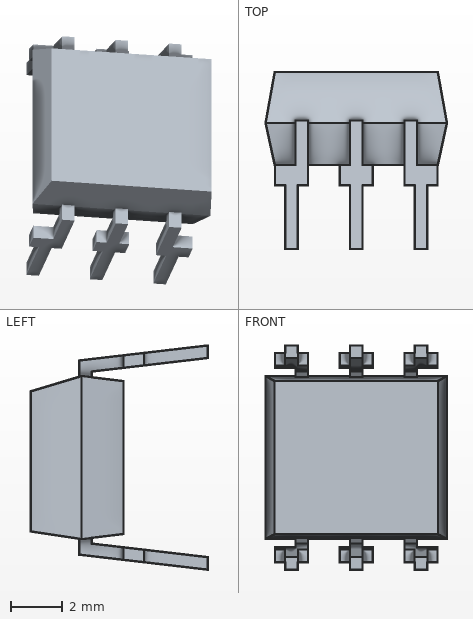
import cadquery as cq

parting_width = 7.12
parting_half_height = 3.2
face_width = 6.4
front_depth = 1.65
front_half_height = 3.0
rear_depth = 2.0
rear_top = 2.6
rear_bottom = -2.9

lead_thickness = 0.5
lead_width = 0.5
lead_root_y = 0.1
lead_root_z = 3.81
lead_tip_z = 4.4
lead_embed_z = 2.9
shoulder_width = 1.3
shoulder_length = 0.8
pin_length = 2.5
pin_pitch = 2.54

shoulder_start_y = -front_depth
shoulder_end_y = shoulder_start_y - shoulder_length
lead_tip_y = shoulder_end_y - pin_length
lead_slope = (lead_tip_z - lead_root_z) / (lead_root_y - lead_tip_y)
stem_shift = (shoulder_width - lead_width) / 2


def lead_outer_z(y):
    """Height of the sloping outer face of an upper lead at a given Y."""
    return lead_root_z + lead_slope * (lead_root_y - y)


def rectangle_wire(width, bottom, top, y):
    """Rectangle centred on X = 0, lying in the plane at the given Y."""
    half = width / 2
    corners = [(-half, y, bottom), (half, y, bottom), (half, y, top), (-half, y, top)]
    return cq.Wire.makePolygon([cq.Vector(*corner) for corner in corners], close=True)


def make_body():
    parting = rectangle_wire(parting_width, -parting_half_height, parting_half_height, 0)
    front = rectangle_wire(face_width, -front_half_height, front_half_height, -front_depth)
    rear = rectangle_wire(face_width, rear_bottom, rear_top, rear_depth)
    front_half = cq.Solid.makeLoft([front, parting], True)
    rear_half = cq.Solid.makeLoft([parting, rear], True)
    return cq.Workplane(front_half).union(cq.Workplane(rear_half))


def extrude_across(points, width, center_x):
    """Extrude a Y-Z outline along X, centred on center_x."""
    profile = cq.Workplane("YZ").polyline(points).close()
    return profile.extrude(width / 2, both=True).translate((center_x, 0, 0))


def make_bar(start_y, end_y, width, center_x):
    """Straight stretch of an upper lead following the sloping outer face."""
    start_z = lead_outer_z(start_y)
    end_z = lead_outer_z(end_y)
    points = [
        (start_y, start_z),
        (end_y, end_z),
        (end_y, end_z - lead_thickness),
        (start_y, start_z - lead_thickness),
    ]
    return extrude_across(points, width, center_x)


def make_stem(center_x):
    """Bent root that rises from inside the body and runs to the shoulder."""
    inner_y = lead_root_y - lead_thickness
    end_z = lead_outer_z(shoulder_start_y)
    points = [
        (lead_root_y, lead_embed_z),
        (lead_root_y, lead_root_z),
        (shoulder_start_y, end_z),
        (shoulder_start_y, end_z - lead_thickness),
        (inner_y, lead_outer_z(inner_y) - lead_thickness),
        (inner_y, lead_embed_z),
    ]
    return extrude_across(points, lead_width, center_x)


def make_upper_lead(column):
    """Lead in column -1, 0 or 1; outer stems line up with the inner shoulder edge."""
    center_x = column * pin_pitch
    stem = make_stem(center_x - column * stem_shift)
    shoulder = make_bar(shoulder_start_y, shoulder_end_y, shoulder_width, center_x)
    pin = make_bar(shoulder_end_y, lead_tip_y, lead_width, center_x)
    return stem.union(shoulder).union(pin)


result = make_body()
for lead_column in (-1, 0, 1):
    upper_lead = make_upper_lead(lead_column)
    result = result.union(upper_lead).union(upper_lead.mirror("XY"))